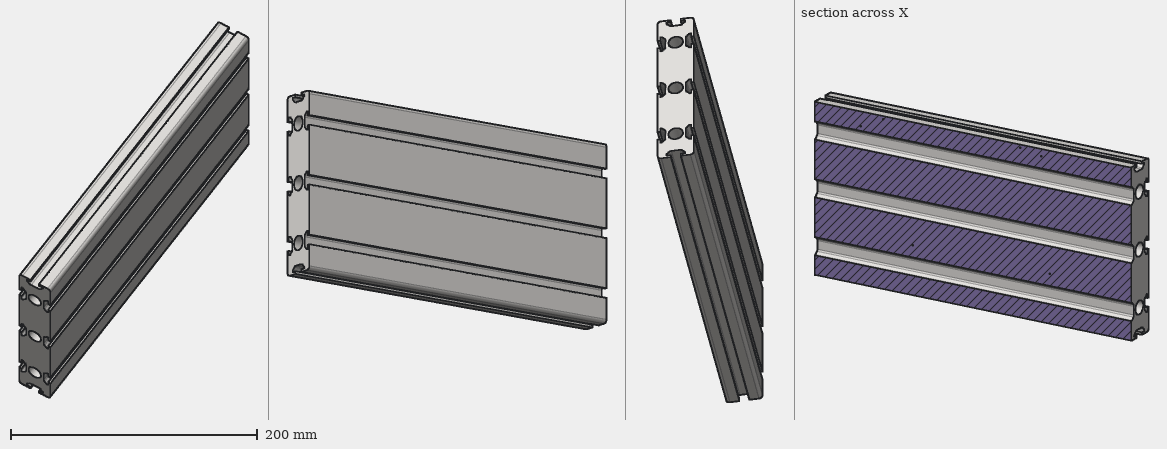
import cadquery as cq

width = 30.0
length = 300.0
height = 150.0
corner_radius = 3.0

station_count = 3
station_pitch = height / station_count
bore_diameter = 12.0

slot_opening = 8.0
lip_thickness = 2.2
slot_inner_width = 15.3
slot_wall_end_depth = 3.5
slot_floor_width = 9.3
slot_depth = 6.5
slot_wall_radius = 0.3
slot_floor_radius = 2.25


def slot_section(mouth_x, mouth_z, turn):
    """Slot outline cut downwards, then turned and moved so its mouth is centred on the given point."""
    right_side = [
        (slot_opening / 2, 0),
        (slot_opening / 2, -lip_thickness),
        (slot_inner_width / 2, -lip_thickness),
        (slot_inner_width / 2, -slot_wall_end_depth),
        (slot_floor_width / 2, -slot_depth),
    ]
    left_side = [(-across, down) for across, down in reversed(right_side)]
    start_point = right_side[:1]
    slot = cq.Sketch().polygon(right_side + left_side + start_point)
    slot = slot.vertices("<X or >X").fillet(slot_wall_radius).reset()
    slot = slot.vertices("<Y").fillet(slot_floor_radius).reset()
    return slot.moved(cq.Location(cq.Vector(mouth_x, mouth_z, 0), cq.Vector(0, 0, 1), turn))


section = cq.Sketch().rect(width, height).vertices().fillet(corner_radius).reset()

for index in range(station_count):
    station = (index - (station_count - 1) / 2) * station_pitch
    section = section.push([(0, station)]).circle(bore_diameter / 2, mode="s").reset()
    section = section.face(slot_section(width / 2, station, -90), mode="s")
    section = section.face(slot_section(-width / 2, station, 90), mode="s")

section = section.face(slot_section(0, height / 2, 0), mode="s")
section = section.face(slot_section(0, -height / 2, 180), mode="s")

bar = cq.Workplane("XZ", origin=(0, length / 2, 0)).placeSketch(section).extrude(length)
result = cq.Workplane(bar.solids().val())